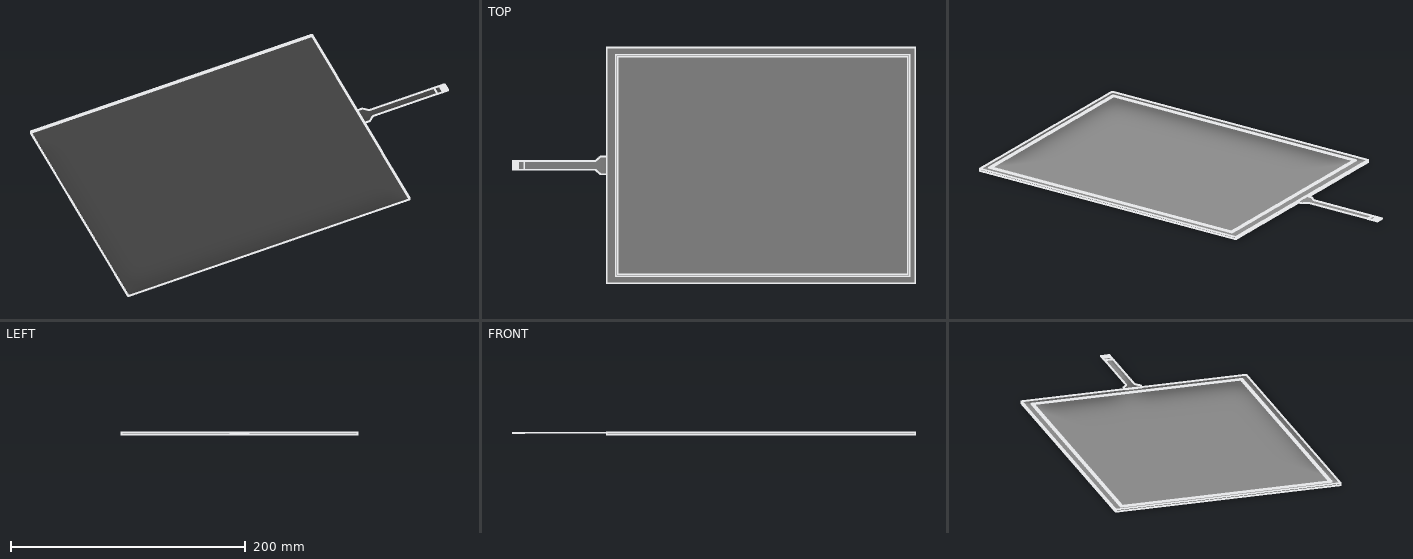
import cadquery as cq

PANEL_LENGTH = 263.0
PANEL_WIDTH = 201.0
PANEL_THICKNESS = 2.1

GROOVE_MARGIN_LEFT = 8.0
GROOVE_MARGIN_RIGHT = 5.0
GROOVE_MARGIN_SIDES = 6.2
GROOVE_WIDTH = 1.75
GROOVE_DEPTH = 0.1

TOTAL_LENGTH = 343.0
TAIL_LENGTH = TOTAL_LENGTH - PANEL_LENGTH
TAIL_WIDTH = 7.5
TAIL_THICKNESS = 0.1
TAIL_BOTTOM = 1.5
TAIL_CENTER_Y = 0.0
ROOT_WIDTH = 15.5
ROOT_LENGTH = 5.0
ROOT_TAPER_LENGTH = 4.5

PAD_COUNT = 5
PAD_LENGTH = 5.0
PAD_HEIGHT = 0.05
PAD_PITCH = TAIL_WIDTH / PAD_COUNT
PAD_WIDTH = PAD_PITCH / 2

STIFFENER_LENGTH = 10.0
STIFFENER_THICKNESS = 0.2

PANEL_LEFT = -PANEL_LENGTH / 2
TAIL_TIP = PANEL_LEFT - TAIL_LENGTH


def framed_block(left, right, sides, bottom, height):
    """Block inset from the panel outline by the given margins."""
    length = PANEL_LENGTH - left - right
    width = PANEL_WIDTH - 2 * sides
    center_x = (left - right) / 2
    return (
        cq.Workplane("XY", origin=(center_x, 0, bottom))
        .rect(length, width)
        .extrude(height)
    )


def make_panel():
    """Flat panel with the groove cut into its top face."""
    panel = framed_block(0, 0, 0, 0, PANEL_THICKNESS)
    groove_floor = PANEL_THICKNESS - GROOVE_DEPTH
    outer = framed_block(
        GROOVE_MARGIN_LEFT, GROOVE_MARGIN_RIGHT, GROOVE_MARGIN_SIDES, groove_floor, GROOVE_DEPTH
    )
    inner = framed_block(
        GROOVE_MARGIN_LEFT + GROOVE_WIDTH,
        GROOVE_MARGIN_RIGHT + GROOVE_WIDTH,
        GROOVE_MARGIN_SIDES + GROOVE_WIDTH,
        groove_floor,
        GROOVE_DEPTH,
    )
    return panel.cut(outer.cut(inner))


def make_tail():
    """Narrow strip that widens through a taper where it meets the panel."""
    root_start = PANEL_LEFT - ROOT_LENGTH
    taper_start = root_start - ROOT_TAPER_LENGTH
    return (
        cq.Workplane("XY", origin=(0, TAIL_CENTER_Y, TAIL_BOTTOM))
        .moveTo(PANEL_LEFT, -ROOT_WIDTH / 2)
        .lineTo(root_start, -ROOT_WIDTH / 2)
        .lineTo(taper_start, -TAIL_WIDTH / 2)
        .lineTo(TAIL_TIP, -TAIL_WIDTH / 2)
        .lineTo(TAIL_TIP, TAIL_WIDTH / 2)
        .lineTo(taper_start, TAIL_WIDTH / 2)
        .lineTo(root_start, ROOT_WIDTH / 2)
        .lineTo(PANEL_LEFT, ROOT_WIDTH / 2)
        .close()
        .extrude(TAIL_THICKNESS)
    )


def make_pads():
    """Row of equally spaced contact pads across the tail tip."""
    pad_center_x = TAIL_TIP + PAD_LENGTH / 2
    pad_bottom = TAIL_BOTTOM + TAIL_THICKNESS
    return (
        cq.Workplane("XY", origin=(pad_center_x, TAIL_CENTER_Y, pad_bottom))
        .rarray(1, PAD_PITCH, 1, PAD_COUNT)
        .rect(PAD_LENGTH, PAD_WIDTH)
        .extrude(PAD_HEIGHT)
    )


def make_stiffener():
    """Backing plate as wide as the tail, flush with its tip."""
    stiffener_center_x = TAIL_TIP + STIFFENER_LENGTH / 2
    return (
        cq.Workplane("XY", origin=(stiffener_center_x, TAIL_CENTER_Y, TAIL_BOTTOM))
        .rect(STIFFENER_LENGTH, TAIL_WIDTH)
        .extrude(-STIFFENER_THICKNESS)
    )


result = make_panel().union(make_tail()).union(make_pads()).union(make_stiffener())